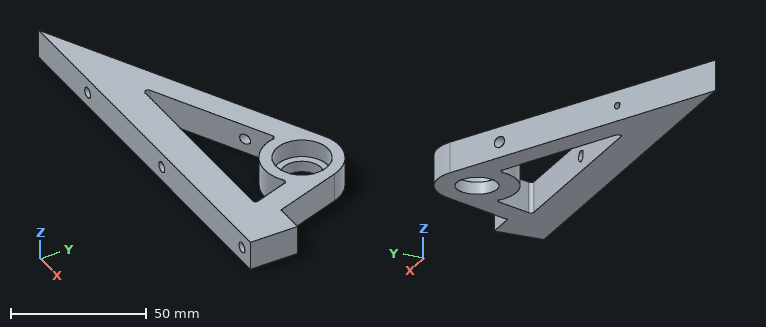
import cadquery as cq
import math

length = 156.0
thickness = 12.3
foot_height = 20.1
foot_corner_x = 143.8

eye_x = 118.9
eye_y = 43.5
eye_radius = 15.9
bore_diameter = 16.2
seat_diameter = 22.2
seat_depth = 7.5

strut_width = 10.1
base_height = 14.0
window_fillet = 1.2

hole_diameter = 4.2
through_hole_positions = (90.8, 149.8)
blind_hole_x = 36.2
blind_hole_depth = 14.0
drill_tip_angle = 118.0

slope_hole_y = 21.4
slope_hole_diameter = 2.5
slope_hole_depth = 4.7

long_angle = math.atan2(eye_y, eye_x) + math.asin(eye_radius / math.hypot(eye_x, eye_y))
corner_dx = foot_corner_x - eye_x
corner_dy = eye_y - foot_height
short_angle = (
    math.atan2(corner_dy, -corner_dx)
    - math.asin(eye_radius / math.hypot(corner_dx, corner_dy))
)


def eye_point(angle):
    """Point on the outer circle of the eye."""
    return (eye_x + eye_radius * math.cos(angle), eye_y + eye_radius * math.sin(angle))


def make_plate():
    """Triangular outline rounded around the eye, with a square foot."""
    return (
        cq.Workplane("XY")
        .lineTo(length, 0)
        .lineTo(length, foot_height)
        .lineTo(foot_corner_x, foot_height)
        .lineTo(*eye_point(short_angle - math.pi / 2))
        .threePointArc(eye_point(math.pi / 2), eye_point(long_angle + math.pi / 2))
        .close()
        .extrude(thickness)
    )


def make_window():
    """Triangle left between the base and struts, cut back around the eye."""
    long_start_x = strut_width / math.sin(long_angle)
    short_start_x = foot_corner_x - strut_width / math.sin(short_angle)
    long_slope = math.tan(long_angle)
    short_slope = math.tan(short_angle)
    left_x = long_start_x + base_height / long_slope
    right_x = short_start_x + (base_height - foot_height) / short_slope
    apex_x = (
        (long_slope * long_start_x - short_slope * short_start_x + foot_height)
        / (long_slope - short_slope)
    )
    apex_y = long_slope * (apex_x - long_start_x)
    triangle = (
        cq.Workplane("XY")
        .polyline([(left_x, base_height), (right_x, base_height), (apex_x, apex_y)])
        .close()
        .extrude(thickness)
    )
    eye = cq.Workplane("XY").center(eye_x, eye_y).circle(eye_radius).extrude(thickness)
    return triangle.cut(eye).edges("|Z").fillet(window_fillet)


def make_bore():
    """Through bore with a bearing seat open at the top."""
    bore = cq.Workplane("XY").center(eye_x, eye_y).circle(bore_diameter / 2).extrude(thickness)
    seat = (
        cq.Workplane("XY", origin=(eye_x, eye_y, thickness - seat_depth))
        .circle(seat_diameter / 2)
        .extrude(seat_depth)
    )
    return bore.union(seat)


def make_cross_hole(x, depth):
    """Hole along +Y at mid-thickness."""
    return (
        cq.Workplane("XZ", origin=(x, 0, thickness / 2))
        .circle(hole_diameter / 2)
        .extrude(-depth)
    )


def make_drilled_hole():
    """Blind hole along +Y ending in a conical drill tip."""
    radius = hole_diameter / 2
    tip_length = radius / math.tan(math.radians(drill_tip_angle / 2))
    tip = cq.Solid.makeCone(
        radius,
        0,
        tip_length,
        pnt=cq.Vector(blind_hole_x, blind_hole_depth, thickness / 2),
        dir=cq.Vector(0, 1, 0),
    )
    return make_cross_hole(blind_hole_x, blind_hole_depth).union(cq.Workplane(tip))


def make_slope_hole():
    """Blind hole entering the long sloping edge at right angles."""
    inward = cq.Vector(math.sin(long_angle), -math.cos(long_angle), 0)
    entry = cq.Vector(slope_hole_y / math.tan(long_angle), slope_hole_y, thickness / 2)
    return cq.Workplane(
        cq.Solid.makeCylinder(slope_hole_diameter / 2, slope_hole_depth, entry, inward)
    )


result = make_plate().cut(make_window()).cut(make_bore())
for hole_x in through_hole_positions:
    result = result.cut(make_cross_hole(hole_x, eye_y + eye_radius))
result = result.cut(make_drilled_hole()).cut(make_slope_hole())